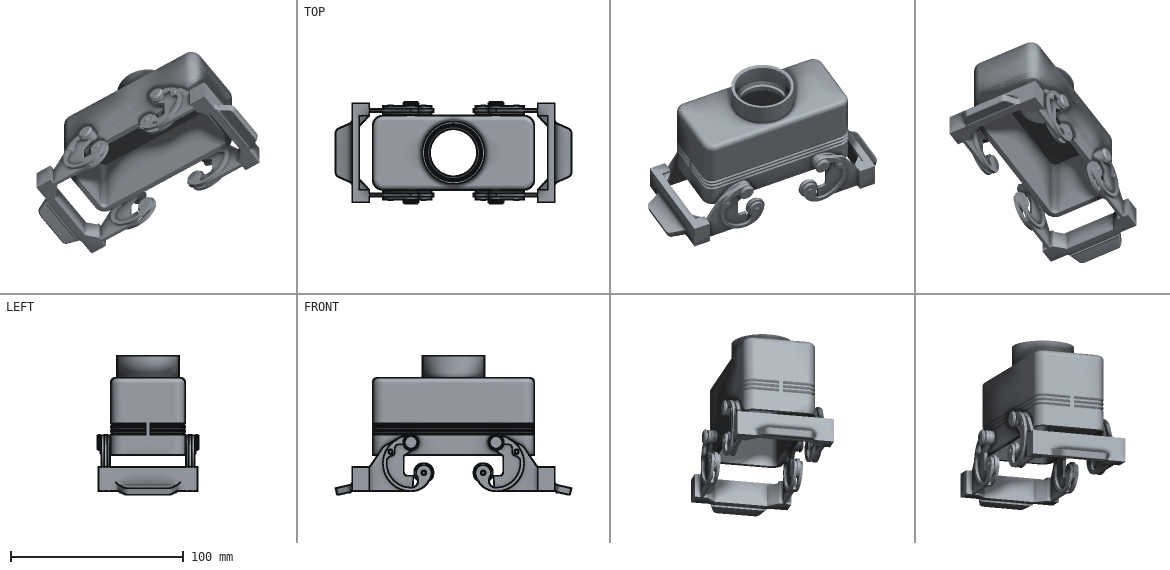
import cadquery as cq
import math


hood_length = 93.8
hood_width = 43.2
hood_height = 44.9
hood_corner_radius = 6.2
hood_top_fillet = 3.0
wall = 3.0
roof = 3.3

groove_tops = (18.6, 16.1, 13.6)
groove_height = 1.8
groove_depth = 0.8
groove_upper_height = 1.1
groove_gap = 2.5

entry_radius = 18.1
entry_height = 12.8
entry_bore_radius = 16.1
entry_rim_chamfer = 0.6
entry_bore_depth = 11.0
entry_seat_radius = 15.2
entry_seat_depth = 13.1
entry_hole_radius = 13.6

cheek_inner = 22.0
plate_inner = 23.55
plate_outer = 25.4
cheek_outer = 27.1
rivet_outer = 27.6
pin_head_inner = 28.1
latch_half_width = 29.5

cam_x = -24.65
cam_z = -4.7
cam_outer_radius = 16.25
cam_inner_radius = 14.1
pivot_z = 7.4
hub_radius = cam_outer_radius - (pivot_z - cam_z)
roller_x = -17.2
roller_z = -10.2
roller_radius = 5.65
eye_radius = 4.5
rivet_x = -36.5
rivet_z = 2.0
rivet_radius = 1.4
rivet_chamfer = 0.4
rivet_boss_radius = 2.5
rivet_fillet_angle = math.radians(172.5)
hub_neck_z = 6.2
neck_corner_radius = 2.2

pin_radius = 2.5
pin_head_radius = 4.5
pin_head_chamfer = 0.9

plate_bottom = -20.8
plate_hub_radius = 4.4
plate_notch_floor = -11.9
plate_notch_wall = -28.7
plate_toe_top_x = -23.1
plate_toe_bottom_x = -23.7
plate_notch_radius = 2.0
plate_tangent_point = (-23.7, 3.1)
plate_notch_top = (plate_notch_wall, -0.6)
plate_notch_lead = (-27.9, 0.1)
plate_shoulder = (-39.7, 5.6)
plate_shoulder_start = (-40.9, 4.5)
plate_back_crown = (-35.5, 7.7)
plate_heel = (-48.6, -6.8)

bar_outer_x = -58.7
bar_inner_x = -48.8
bar_top = -6.8
bar_half_width = 28.7
bar_web = 4.2
bar_arm_width = 7.15
gusset_width = 6.1
gusset_drop = 1.3

grip_angle = math.radians(13.0)
grip_tip_x = -68.41
grip_tip_z = -19.13
grip_thickness = 4.15
grip_tip_half_width = 13.3
grip_root_half_width = 17.6
grip_corner_radius = 3.2
grip_root_fillet = 1.9
grip_lower_fillet = 0.8


def rounded_block(length, width, radius, z, height, taper=0):
    sketch = cq.Sketch().rect(length, width).vertices().fillet(radius)
    return cq.Workplane("XY", origin=(0, 0, z)).placeSketch(sketch).extrude(height, taper=taper)


def make_groove(top):
    """Ring with a V section, interrupted in the middle of both short ends."""
    lower_height = groove_height - groove_upper_height
    valley_z = top - groove_upper_height
    valley_length = hood_length - 2 * groove_depth
    valley_width = hood_width - 2 * groove_depth
    valley_radius = hood_corner_radius - groove_depth
    upper_taper = -math.degrees(math.atan(groove_depth / groove_upper_height))
    lower_taper = -math.degrees(math.atan(groove_depth / lower_height))
    ring = rounded_block(hood_length, hood_width, hood_corner_radius, top - groove_height, groove_height)
    upper_core = rounded_block(
        valley_length, valley_width, valley_radius, valley_z, groove_upper_height, upper_taper
    )
    lower_core = rounded_block(
        valley_length, valley_width, valley_radius, valley_z, -lower_height, lower_taper
    )
    gap = cq.Workplane("XY").box(2 * hood_length, groove_gap, 2 * hood_height)
    return ring.cut(upper_core).cut(lower_core).cut(gap)


def make_hood():
    body = rounded_block(hood_length, hood_width, hood_corner_radius, 0, hood_height)
    body = body.faces(">Z").edges().fillet(hood_top_fillet)
    body = body.cut(
        rounded_block(
            hood_length - 2 * wall, hood_width - 2 * wall, hood_corner_radius - wall, 0, hood_height - roof
        )
    )
    for top in groove_tops:
        body = body.cut(make_groove(top))
    neck = cq.Workplane("XY", origin=(0, 0, hood_height)).circle(entry_radius).extrude(entry_height)
    return body.union(neck).cut(make_entry_bore())


def make_entry_bore():
    """Stepped bore from the chamfered rim down through the roof."""
    rim_z = hood_height + entry_height
    seat_z = rim_z - entry_seat_depth
    return (
        cq.Workplane("XZ")
        .moveTo(0, rim_z)
        .lineTo(entry_bore_radius + entry_rim_chamfer, rim_z)
        .lineTo(entry_bore_radius, rim_z - entry_rim_chamfer)
        .lineTo(entry_bore_radius, rim_z - entry_bore_depth)
        .lineTo(entry_seat_radius, seat_z)
        .lineTo(entry_hole_radius, seat_z)
        .lineTo(entry_hole_radius, 0)
        .lineTo(0, 0)
        .close()
        .revolve(360, (0, 0, 0), (0, 1, 0))
    )


def layer(distance):
    """XZ workplane facing -Y at a distance from the middle plane."""
    return cq.Workplane("XZ", origin=(0, -distance, 0))


def disc(x, z, radius, inner, outer):
    return layer(inner).center(x, z).circle(radius).extrude(outer - inner)


def polar(centre, radius, angle):
    return (centre[0] + radius * math.cos(angle), centre[1] + radius * math.sin(angle))


def make_cheek(inner, outer):
    """Hook running from the pivot hub round the cam circle to the roller eye."""
    cam = (cam_x, cam_z)
    pivot = (cam_x, pivot_z)
    roller = (roller_x, roller_z)
    rivet = (rivet_x, rivet_z)
    down = -math.pi / 2
    cam_bottom = cam_z - cam_outer_radius
    throat_bottom = cam_z - cam_inner_radius
    roller_offset = roller_x - cam_x

    rise = roller_z - cam_bottom
    tip_radius = (roller_offset**2 + rise**2 - eye_radius**2) / (2 * (rise - eye_radius))
    tip = (cam_x, cam_bottom + tip_radius)
    tip_end_angle = math.atan2(roller_z - tip[1], roller_offset)

    rise = roller_z - throat_bottom
    throat_radius = (roller_offset**2 + rise**2 - eye_radius**2) / (2 * (rise + eye_radius))
    throat = (cam_x, throat_bottom + throat_radius)
    throat_end_angle = math.atan2(roller_z - throat[1], roller_offset)

    boss_start = polar(rivet, rivet_boss_radius, math.radians(-75))
    fillet_start = polar(cam, cam_inner_radius, rivet_fillet_angle)
    fillet_bulge = 0.35
    fillet_middle = (
        (fillet_start[0] + boss_start[0]) / 2 - fillet_bulge,
        (fillet_start[1] + boss_start[1]) / 2 + fillet_bulge,
    )
    neck_x = rivet_x + rivet_boss_radius
    neck_corner = (neck_x + neck_corner_radius, hub_neck_z - neck_corner_radius)
    hub_left = cam_x - math.sqrt(hub_radius**2 - (hub_neck_z - pivot_z) ** 2)

    return (
        layer(inner)
        .moveTo(*polar(cam, cam_outer_radius, -down))
        .threePointArc(polar(cam, cam_outer_radius, math.pi), polar(cam, cam_outer_radius, down))
        .threePointArc(
            polar(tip, tip_radius, (down + tip_end_angle) / 2), polar(tip, tip_radius, tip_end_angle)
        )
        .threePointArc(
            polar(roller, eye_radius, math.pi / 2),
            polar(roller, eye_radius, throat_end_angle + math.pi),
        )
        .threePointArc(
            polar(throat, throat_radius, (down + throat_end_angle) / 2),
            polar(throat, throat_radius, down),
        )
        .threePointArc(polar(cam, cam_inner_radius, math.radians(225)), fillet_start)
        .threePointArc(fillet_middle, boss_start)
        .threePointArc(polar(rivet, rivet_boss_radius, math.radians(-37.5)), (neck_x, rivet_z))
        .lineTo(neck_x, neck_corner[1])
        .threePointArc(
            polar(neck_corner, neck_corner_radius, math.radians(135)), (neck_corner[0], hub_neck_z)
        )
        .lineTo(hub_left, hub_neck_z)
        .threePointArc(polar(pivot, hub_radius, math.radians(-30)), polar(pivot, hub_radius, -down))
        .close()
        .extrude(outer - inner)
    )


def make_plate():
    """Latch plate between the two cheeks, tied into the crossbar arm."""
    pivot = (cam_x, pivot_z)
    notch_corner = (plate_notch_wall + plate_notch_radius, plate_notch_floor + plate_notch_radius)
    return (
        layer(plate_inner)
        .moveTo(bar_inner_x - 1.0, plate_bottom)
        .lineTo(plate_toe_bottom_x, plate_bottom)
        .lineTo(plate_toe_top_x, plate_notch_floor)
        .lineTo(notch_corner[0], plate_notch_floor)
        .threePointArc(
            polar(notch_corner, plate_notch_radius, math.radians(225)), (plate_notch_wall, notch_corner[1])
        )
        .lineTo(*plate_notch_top)
        .lineTo(*plate_notch_lead)
        .lineTo(*plate_tangent_point)
        .threePointArc(polar(pivot, plate_hub_radius, 0), polar(pivot, plate_hub_radius, math.pi / 2))
        .threePointArc(plate_back_crown, plate_shoulder)
        .lineTo(*plate_shoulder_start)
        .lineTo(*plate_heel)
        .lineTo(bar_inner_x - 1.0, bar_top)
        .close()
        .extrude(plate_outer - plate_inner)
    )


def make_pin():
    """Pivot pin from the hood wall out to its chamfered head."""
    shank_start = hood_width / 2 - wall / 2
    shank = disc(cam_x, pivot_z, pin_radius, shank_start, pin_head_inner)
    head = disc(cam_x, pivot_z, pin_head_radius, pin_head_inner, latch_half_width)
    head = head.faces("<Y").chamfer(pin_head_chamfer)
    return shank.union(head)


def make_rivet(x, z):
    rivet = disc(x, z, rivet_radius, cheek_inner, rivet_outer)
    return rivet.faces("<Y").chamfer(rivet_chamfer)


def make_side_latch():
    latch = make_cheek(cheek_inner, plate_inner).union(make_cheek(plate_outer, cheek_outer))
    latch = latch.union(make_plate())
    latch = latch.union(disc(roller_x, roller_z, roller_radius, plate_inner, plate_outer))
    latch = latch.union(make_rivet(rivet_x, rivet_z)).union(make_rivet(roller_x, roller_z))
    return latch.union(make_pin())


def make_crossbar():
    bar_height = bar_top - plate_bottom
    web_inner_x = bar_outer_x + bar_web
    arm_inner_y = bar_half_width - bar_arm_width
    base = cq.Workplane("XY", origin=(0, 0, plate_bottom))
    bar = base.polyline(
        [
            (bar_outer_x, -bar_half_width),
            (bar_inner_x, -bar_half_width),
            (bar_inner_x, -arm_inner_y),
            (web_inner_x, -arm_inner_y),
            (web_inner_x, arm_inner_y),
            (bar_inner_x, arm_inner_y),
            (bar_inner_x, bar_half_width),
            (bar_outer_x, bar_half_width),
        ]
    ).close().extrude(bar_height)
    gusset = base.polyline(
        [
            (web_inner_x, -arm_inner_y),
            (bar_inner_x, -arm_inner_y),
            (web_inner_x, -arm_inner_y + gusset_width),
        ]
    ).close().extrude(bar_height - gusset_drop)
    return bar.union(gusset).union(gusset.mirror("XZ")).union(make_grip())


def make_grip():
    run = (bar_outer_x - grip_tip_x) / math.cos(grip_angle)
    overrun = 2.0
    flare = (grip_root_half_width - grip_tip_half_width) / run
    end_half_width = grip_root_half_width + flare * overrun
    plane = cq.Plane(
        origin=(grip_tip_x, 0, grip_tip_z),
        xDir=(math.cos(grip_angle), 0, math.sin(grip_angle)),
        normal=(-math.sin(grip_angle), 0, math.cos(grip_angle)),
    )
    grip = cq.Workplane(plane).polyline(
        [
            (0, -grip_tip_half_width),
            (run + overrun, -end_half_width),
            (run + overrun, end_half_width),
            (0, grip_tip_half_width),
        ]
    ).close().extrude(-grip_thickness)
    tip_edges = cq.selectors.BoxSelector(
        (grip_tip_x - 1.0, -grip_root_half_width, 2 * plate_bottom),
        (grip_tip_x + 2.0, grip_root_half_width, 0),
    )
    normal_edges = cq.selectors.ParallelDirSelector(plane.zDir)
    grip = grip.edges(tip_edges).edges(normal_edges).fillet(grip_corner_radius)
    underside = cq.selectors.DirectionMinMaxSelector(plane.zDir, False)
    grip = grip.faces(underside).edges().fillet(grip_lower_fillet)

    block_height = 2 * (bar_top - plate_bottom)
    block = cq.Workplane("XY", origin=(bar_outer_x + bar_web / 2, 0, bar_top - block_height / 2)).box(
        bar_web, 2 * bar_half_width, block_height
    )
    margin = 0.05
    root_edges = cq.selectors.BoxSelector(
        (bar_outer_x - margin, -grip_root_half_width - margin, bar_top - block_height + margin),
        (bar_outer_x + margin, grip_root_half_width + margin, bar_top - margin),
    )
    grip = block.union(grip).edges(root_edges).fillet(grip_root_fillet)
    below_bar = cq.Workplane("XY", origin=(bar_outer_x - grip_root_fillet / 2, 0, plate_bottom)).box(
        2 * bar_web, 2 * bar_half_width, block_height, centered=(False, True, False)
    ).translate((0, 0, -block_height))
    return grip.cut(below_bar)


side_latch = make_side_latch()
lever = make_crossbar().union(side_latch).union(side_latch.mirror("XZ"))
result = make_hood().union(lever).union(lever.mirror("YZ"))